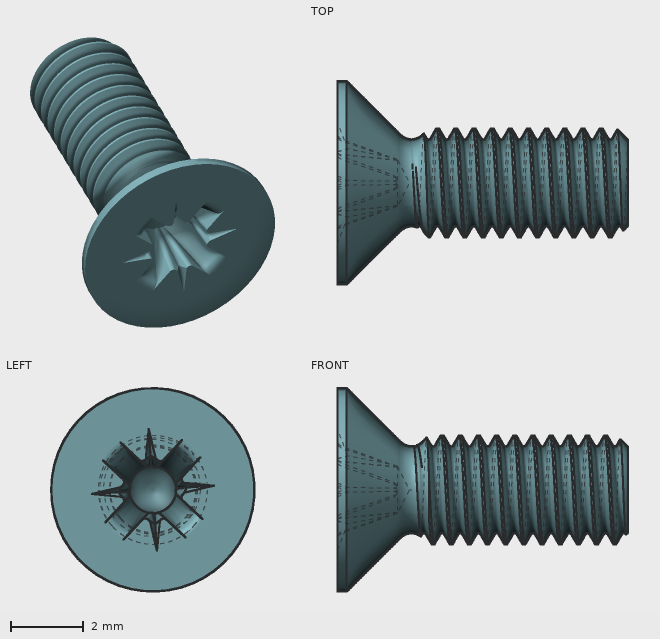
import cadquery as cq
import math

length = 8.0

head_radius = 2.8
rim_thickness = 0.26

neck_radius = 1.2
neck_fillet = 0.44

pitch = length / 16
thread_radius = 3 * pitch
end_radius = 1.18
groove_start = 2.01
groove_clearance = 0.04

recess_depth = 1.66
recess_bottom_radius = 0.64
recess_tip_depth = 0.33
wing_radius = 1.58
wing_wall_angle = 25.0
wing_width = 0.69
wing_turn = -2.0
core_half_width = 0.7
core_taper = 8.0
core_corner_fillet = 0.12
star_turn = -3.9
star_radius = 1.68
star_inner_radius = 0.72
star_inner_width = 0.32
star_inner_depth = 0.37


def make_blank():
    """Turned body before the thread and the recess are cut."""
    cone_angle = math.radians(45)
    arc_half_length = neck_fillet * math.sin(cone_angle)
    arc_end_radius = neck_radius + neck_fillet * (1 - math.cos(cone_angle))
    arc_start = rim_thickness + head_radius - arc_end_radius
    neck_middle = arc_start + arc_half_length
    arc_end = neck_middle + arc_half_length
    full_thread_start = arc_end + thread_radius - arc_end_radius
    end_chamfer = thread_radius - end_radius
    return (
        cq.Workplane("XY")
        .lineTo(0, head_radius)
        .lineTo(rim_thickness, head_radius)
        .lineTo(arc_start, arc_end_radius)
        .threePointArc((neck_middle, neck_radius), (arc_end, arc_end_radius))
        .lineTo(full_thread_start, thread_radius)
        .lineTo(length - end_chamfer, thread_radius)
        .lineTo(length, end_radius)
        .lineTo(length, 0)
        .close()
        .revolve(360, (0, 0, 0), (1, 0, 0))
    )


def make_thread_groove():
    """Right-hand helical groove with a rounded root, swept along Z and then laid along X."""
    flank_angle = math.radians(30)
    flank_slope = math.tan(flank_angle)
    root_fillet = pitch * math.sqrt(3) / 12
    crest_half_gap = pitch * 7 / 16
    outer_radius = thread_radius + groove_clearance
    outer_half_gap = crest_half_gap + groove_clearance * flank_slope
    root_half_gap = root_fillet * math.cos(flank_angle)
    flank_end_radius = thread_radius - (crest_half_gap - root_half_gap) / flank_slope
    root_radius = flank_end_radius - root_fillet * (1 - math.sin(flank_angle))
    path = cq.Wire.makeHelix(pitch, length + pitch - groove_start, root_radius)
    return (
        cq.Workplane("XZ")
        .moveTo(outer_radius, -outer_half_gap)
        .lineTo(flank_end_radius, -root_half_gap)
        .threePointArc((root_radius, 0), (flank_end_radius, root_half_gap))
        .lineTo(outer_radius, outer_half_gap)
        .close()
        .sweep(cq.Workplane(path), isFrenet=True)
        .rotate((0, 0, 0), (0, 1, 0), 90)
        .rotate((0, 0, 0), (1, 0, 0), 90)
        .translate((groove_start, 0, 0))
    )


def make_recess_envelope():
    """Turned shape that bounds the wings: rounded lip and conical wall."""
    wall_angle = math.radians(wing_wall_angle)
    turn = math.pi / 2 - wall_angle
    wall_top_radius = recess_bottom_radius + recess_depth * math.tan(wall_angle)
    tangent = wing_radius - wall_top_radius
    lip_fillet = tangent / math.tan(turn / 2)
    lip_end_depth = tangent * math.cos(wall_angle)
    lip_end_radius = wall_top_radius - tangent * math.sin(wall_angle)
    lip_middle_depth = lip_fillet * (1 - math.cos(turn / 2))
    lip_middle_radius = wing_radius - lip_fillet * math.sin(turn / 2)
    return (
        cq.Workplane("XY")
        .lineTo(0, wing_radius)
        .threePointArc((lip_middle_depth, lip_middle_radius), (lip_end_depth, lip_end_radius))
        .lineTo(recess_depth, recess_bottom_radius)
        .lineTo(recess_depth, 0)
        .close()
        .revolve(360, (0, 0, 0), (1, 0, 0))
    )


def make_recess_tip():
    """Shallow cone below the flat end of the wings and core."""
    return (
        cq.Workplane("XY")
        .moveTo(recess_depth, 0)
        .lineTo(recess_depth, recess_bottom_radius)
        .lineTo(recess_depth + recess_tip_depth, 0)
        .close()
        .revolve(360, (0, 0, 0), (1, 0, 0))
    )


def make_recess_cross():
    """Core and wings at full depth, with the corners between them rounded."""
    cross = (
        cq.Workplane("YZ")
        .rect(2 * core_half_width, 2 * core_half_width)
        .extrude(recess_depth, taper=core_taper)
        .rotate((0, 0, 0), (1, 0, 0), 45 + star_turn)
    )
    for diagonal in (45, 135):
        wing = (
            cq.Workplane("YZ")
            .rect(2 * head_radius, wing_width)
            .extrude(recess_depth)
            .rotate((0, 0, 0), (1, 0, 0), diagonal + wing_turn)
        )
        cross = cross.union(wing)
    corner_box = cq.selectors.BoxSelector(
        (recess_depth / 4, -core_half_width, -core_half_width),
        (recess_depth * 3 / 4, core_half_width, core_half_width),
    )
    return cross.edges(corner_box).fillet(core_corner_fillet)


def make_star_notches():
    """Four V notches that run out to points on the head face."""
    half_width = star_inner_width / 2
    point = cq.Vector(0, star_radius, 0)
    left = cq.Vector(0, star_inner_radius, half_width)
    right = cq.Vector(0, star_inner_radius, -half_width)
    root = cq.Vector(star_inner_depth, star_inner_radius, 0)
    sides = [(point, left, right), (point, left, root), (point, right, root), (left, right, root)]
    faces = [cq.Face.makeFromWires(cq.Wire.makePolygon(side, close=True)) for side in sides]
    notch = cq.Solid.makeSolid(cq.Shell.makeShell(faces))
    turns = [star_turn + quarter * 90 for quarter in range(4)]
    return [notch.rotate(cq.Vector(0, 0, 0), cq.Vector(1, 0, 0), turn) for turn in turns]


recess = make_recess_cross().intersect(make_recess_envelope()).union(make_recess_tip())
screw = make_blank().cut(make_thread_groove()).cut(recess)
for notch in make_star_notches():
    screw = screw.cut(cq.Workplane(notch))
result = cq.Workplane(screw.solids().val())